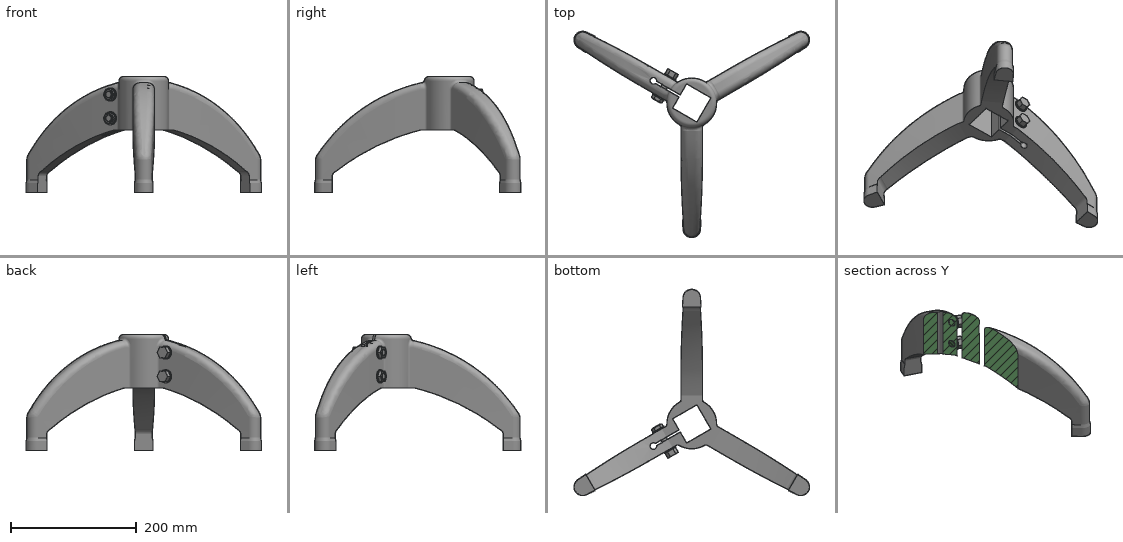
import cadquery as cq
import math

HUB_RADIUS = 39.8
HUB_TOP = 185.0
HUB_BOTTOM = 99.5
HUB_TOP_ROUND = 7.5
SOCKET_SIDE = 44.3

LEG_ANGLES = (30, 150, 270)
CLAMP_ANGLE = 150
LEG_ROOT = 26.3
LEG_HALF_WIDTH = 17.3
LEG_TOP_ROUND = 11.3
LEG_JOINT_ROUND = 4.5
TAPER_START = 85.0
END_CENTRE = 200.5
END_RADIUS = 12.8
LEG_LENGTH = END_CENTRE + END_RADIUS
LEG_INNER_FACE = 186.2
ARCH_START = 45.0
LEG_TOP_AT_HUB = 175.0
LEG_TOP_MIDDLE = (141.5, 131.5)
SHOULDER_HEIGHT = 55.0
UNDERSIDE_MIDDLE = (116.5, 73.5)
UNDERSIDE_END = (180.0, 33.8)
INNER_CORNER_MIDDLE = (184.3, 30.8)
INNER_CORNER_END = 26.3

FOOT_STEP = 1.3
FOOT_HEIGHT = 14.5
FOOT_BEVEL_TOP = 20.3

SLOT_WIDTH = 3.8
SLOT_END = 70.5
SLOT_END_DIAMETER = 10.0
BOLT_RADIAL = 50.5
BOLT_HEIGHTS = (118.2, 156.0)
BOLT_DIAMETER = 10.0
BOLT_HOLE_DIAMETER = 10.5
HEX_ACROSS_FLATS = 17.0
HEX_FACE_DIAMETER = 14.5
WASHER_DIAMETER = 21.0
WASHER_THICKNESS = 2.0
NUT_HEIGHT = 6.0
HEAD_HEIGHT = 9.5
HEX_CHAMFER_ANGLE = 30
BOLT_END_RECESS = 1.0
NUT_FACE = -LEG_HALF_WIDTH - WASHER_THICKNESS - NUT_HEIGHT

TOLERANCE = 0.08

TAPER_LENGTH = END_CENTRE - TAPER_START
TAPER_DROP = LEG_HALF_WIDTH - END_RADIUS
TAPER_RADIUS = (TAPER_LENGTH**2 + TAPER_DROP**2) / (2 * TAPER_DROP)


def half_width(radial):
    """Half width of the tapered part of a leg at a distance from the hub axis."""
    along = radial - TAPER_START
    return LEG_HALF_WIDTH - TAPER_RADIUS + math.sqrt(TAPER_RADIUS**2 - along**2)


def leg_plan():
    """Leg outline seen from above, with tapered sides and a round end."""
    middle = (TAPER_START + END_CENTRE) / 2
    return (
        cq.Workplane("XY")
        .moveTo(LEG_ROOT, -LEG_HALF_WIDTH)
        .lineTo(TAPER_START, -LEG_HALF_WIDTH)
        .threePointArc((middle, -half_width(middle)), (END_CENTRE, -END_RADIUS))
        .threePointArc((LEG_LENGTH, 0), (END_CENTRE, END_RADIUS))
        .threePointArc((middle, half_width(middle)), (TAPER_START, LEG_HALF_WIDTH))
        .lineTo(LEG_ROOT, LEG_HALF_WIDTH)
        .close()
    )


def leg_profile():
    """Leg outline seen from the side, arched above and below."""
    return (
        cq.Workplane("XZ")
        .moveTo(LEG_ROOT, HUB_BOTTOM)
        .lineTo(ARCH_START, HUB_BOTTOM)
        .threePointArc(UNDERSIDE_MIDDLE, UNDERSIDE_END)
        .threePointArc(INNER_CORNER_MIDDLE, (LEG_INNER_FACE, INNER_CORNER_END))
        .lineTo(LEG_INNER_FACE, FOOT_BEVEL_TOP)
        .lineTo(LEG_LENGTH, FOOT_BEVEL_TOP)
        .lineTo(LEG_LENGTH, SHOULDER_HEIGHT)
        .threePointArc(LEG_TOP_MIDDLE, (ARCH_START, LEG_TOP_AT_HUB))
        .lineTo(LEG_ROOT, LEG_TOP_AT_HUB)
        .close()
    )


def foot_outline(height, step):
    """Closed foot outline at a height, grown sideways and outwards by a step."""
    inner = LEG_INNER_FACE
    inner_half = half_width(inner) + step
    end_half = END_RADIUS + step
    return (
        cq.Workplane("XY", origin=(0, 0, height))
        .moveTo(inner, -inner_half)
        .lineTo(END_CENTRE, -end_half)
        .threePointArc((END_CENTRE + end_half, 0), (END_CENTRE, end_half))
        .lineTo(inner, inner_half)
        .close()
    )


def make_foot():
    block = foot_outline(0, FOOT_STEP).extrude(FOOT_HEIGHT)
    lower = foot_outline(FOOT_HEIGHT, FOOT_STEP).val()
    upper = foot_outline(FOOT_BEVEL_TOP, 0).val()
    bevel = cq.Solid.makeLoft([lower, upper], True)
    return block.union(cq.Workplane(bevel))


def is_leg_top_edge(edge):
    """True for an edge that runs lengthwise along the top of a leg."""
    box = edge.BoundingBox()
    return box.xlen > TOLERANCE and box.zmax > HUB_BOTTOM + TOLERANCE


def make_leg():
    """One leg along +X with rounded top edges and its foot."""
    leg = leg_plan().extrude(HUB_TOP).intersect(leg_profile().extrude(LEG_HALF_WIDTH, both=True))
    top_edges = [edge for edge in leg.edges().vals() if is_leg_top_edge(edge)]
    leg = leg.newObject(top_edges).fillet(LEG_TOP_ROUND)
    return leg.union(make_foot())


def is_leg_joint(edge):
    """True for an edge where a leg meets the hub wall."""
    middle = edge.positionAt(0.5)
    on_wall = abs(math.hypot(middle.x, middle.y) - HUB_RADIUS) < TOLERANCE
    box = edge.BoundingBox()
    inside_height = HUB_BOTTOM + TOLERANCE < middle.z and box.zmax < HUB_TOP - TOLERANCE
    return on_wall and inside_height


def make_hub_with_legs():
    """Hub and legs joined, with rounded joints and a rounded hub rim."""
    body = cq.Workplane("XY", origin=(0, 0, HUB_BOTTOM)).circle(HUB_RADIUS).extrude(HUB_TOP - HUB_BOTTOM)
    for angle in LEG_ANGLES:
        body = body.union(make_leg().rotate((0, 0, 0), (0, 0, 1), angle))
    body = body.faces(">Z").edges().fillet(HUB_TOP_ROUND)
    joints = [edge for edge in body.edges().vals() if is_leg_joint(edge)]
    body = body.newObject(joints).fillet(LEG_JOINT_ROUND)
    return body


def turn_to_clamp(body):
    """Turn a body made along +X to the clamped leg."""
    return body.rotate((0, 0, 0), (0, 0, 1), CLAMP_ANGLE)


def rod(diameter, start, length, height):
    """Cylinder on the bolt axis, from a start measured from the leg's middle towards the bolt head."""
    plane = cq.Plane(origin=(BOLT_RADIAL, -start, height), xDir=(1, 0, 0), normal=(0, -1, 0))
    return cq.Workplane(plane).circle(diameter / 2).extrude(length)


def hexagon(start, length, height):
    """Hexagonal block on the bolt axis, placed like a rod, with flats above and below."""
    plane = cq.Plane(origin=(BOLT_RADIAL, -start, height), xDir=(0, 0, 1), normal=(0, -1, 0))
    return cq.Workplane(plane).polygon(6, HEX_ACROSS_FLATS, circumscribed=True).extrude(length)


def make_clamp_cuts():
    """Socket, slot with its round end, and bolt holes, along +X."""
    socket = cq.Workplane("XY").rect(SOCKET_SIDE, SOCKET_SIDE).extrude(HUB_TOP)
    slot = cq.Workplane("XY").center(SLOT_END / 2, 0).rect(SLOT_END, SLOT_WIDTH).extrude(HUB_TOP)
    slot_end = cq.Workplane("XY").center(SLOT_END, 0).circle(SLOT_END_DIAMETER / 2).extrude(HUB_TOP)
    cuts = socket.union(slot).union(slot_end)
    for height in BOLT_HEIGHTS:
        cuts = cuts.union(rod(BOLT_HOLE_DIAMETER, -LEG_HALF_WIDTH, 2 * LEG_HALF_WIDTH, height))
    return cuts


def make_housing():
    """The one-piece stand: hub, three legs and feet, socket and clamp slot."""
    return make_hub_with_legs().cut(turn_to_clamp(make_clamp_cuts()))


def make_washer(height):
    """Washer between the clamped leg and the nut."""
    start = -LEG_HALF_WIDTH - WASHER_THICKNESS
    washer = rod(WASHER_DIAMETER, start, WASHER_THICKNESS, height)
    return turn_to_clamp(washer.cut(rod(BOLT_DIAMETER, start, WASHER_THICKNESS, height)))


def make_nut(height):
    """Hexagon nut on the washer, its outer corners chamfered down to a round face."""
    corner_diameter = HEX_ACROSS_FLATS / math.cos(math.pi / 6)
    chamfer_width = (corner_diameter - HEX_FACE_DIAMETER) / 2
    chamfer_depth = chamfer_width * math.tan(math.radians(HEX_CHAMFER_ANGLE))
    turned_blank = rod(corner_diameter, NUT_FACE, NUT_HEIGHT, height)
    turned_blank = turned_blank.faces(">Y").chamfer(chamfer_depth, chamfer_width)
    nut = hexagon(NUT_FACE, NUT_HEIGHT, height).intersect(turned_blank)
    return turn_to_clamp(nut.cut(rod(BOLT_DIAMETER, NUT_FACE, NUT_HEIGHT, height)))


def make_bolt(height):
    """Flanged hexagon bolt whose end lies just inside the nut."""
    end = NUT_FACE + BOLT_END_RECESS
    shank = rod(BOLT_DIAMETER, end, LEG_HALF_WIDTH - end, height)
    flange = rod(WASHER_DIAMETER, LEG_HALF_WIDTH, WASHER_THICKNESS, height)
    head = hexagon(LEG_HALF_WIDTH + WASHER_THICKNESS, HEAD_HEIGHT, height)
    return turn_to_clamp(shank.union(flange).union(head))


housing = make_housing()
washers = [make_washer(height) for height in BOLT_HEIGHTS]
nuts = [make_nut(height) for height in BOLT_HEIGHTS]
bolts = [make_bolt(height) for height in BOLT_HEIGHTS]

bodies = [housing, *washers, *nuts, *bolts]
result = cq.Compound.makeCompound([body.val() for body in bodies])